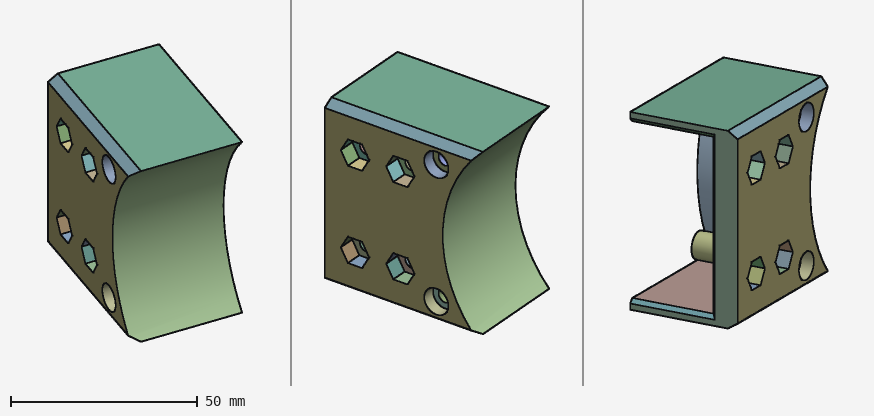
import cadquery as cq
import math

DEPTH = 33.2
HEIGHT = 56.2
HALF_HEIGHT = HEIGHT / 2

SADDLE_RADIUS = 41.0
SADDLE_CENTER_X = 80.0
WALL = 3.0

FRONT_PLATE = 8.2
BEVEL_DEPTH = 3.0
BEVEL_HEIGHT = 1.9

POCKET_DEPTH = DEPTH - FRONT_PLATE
POCKET_HALF_HEIGHT = HALF_HEIGHT - WALL
END_WALL_RADIUS = SADDLE_RADIUS + WALL
MOUTH_CHAMFER = 1.2

BOSS_DIAMETER = 8.0
BOSS_Z = POCKET_HALF_HEIGHT - BOSS_DIAMETER / 2
BOSS_CENTER_RADIUS = END_WALL_RADIUS + BOSS_DIAMETER / 2
BOSS_X = SADDLE_CENTER_X - math.sqrt(BOSS_CENTER_RADIUS**2 - BOSS_Z**2)

SCREW_HOLE_DIAMETER = 4.3
COUNTERBORE_DIAMETER = 8.0
COUNTERBORE_DEPTH = 4.0
NUT_ACROSS_FLATS = 8.1
NUT_DEPTH = 5.2
NUT_CENTERS_X = (10.0, 25.0)
NUT_Z = 15.0


def on_xz(y):
    """Workplane at depth y whose local axes are X and Z; it extrudes towards -Y."""
    return cq.Workplane("XZ", origin=(0, y, 0))


def cylinder(x, z, diameter, y_start, y_end):
    """Round bar along Y."""
    return on_xz(y_end).center(x, z).circle(diameter / 2).extrude(y_end - y_start)


def make_block():
    """Bevelled bar along X, trimmed by the saddle cylinder."""
    tip_x = SADDLE_CENTER_X - math.sqrt(SADDLE_RADIUS**2 - HALF_HEIGHT**2)
    profile = [
        (DEPTH, -HALF_HEIGHT),
        (DEPTH, HALF_HEIGHT),
        (BEVEL_DEPTH, HALF_HEIGHT),
        (0, HALF_HEIGHT - BEVEL_HEIGHT),
        (0, BEVEL_HEIGHT - HALF_HEIGHT),
        (BEVEL_DEPTH, -HALF_HEIGHT),
    ]
    bar = cq.Workplane("YZ").polyline(profile).close().extrude(tip_x)
    return bar.cut(cylinder(SADDLE_CENTER_X, 0, 2 * SADDLE_RADIUS, 0, DEPTH))


def make_pocket():
    """Space inside the walls: the curved end wall lies between the two bosses."""
    boss_radius = BOSS_DIAMETER / 2
    tangent_ratio = END_WALL_RADIUS / BOSS_CENTER_RADIUS
    tangent_x = SADDLE_CENTER_X - (SADDLE_CENTER_X - BOSS_X) * tangent_ratio
    tangent_z = BOSS_Z * tangent_ratio
    boss_front_x = BOSS_X - boss_radius
    return (
        on_xz(DEPTH)
        .moveTo(0, -POCKET_HALF_HEIGHT)
        .lineTo(BOSS_X, -POCKET_HALF_HEIGHT)
        .threePointArc((boss_front_x, -BOSS_Z), (tangent_x, -tangent_z))
        .threePointArc((SADDLE_CENTER_X - END_WALL_RADIUS, 0), (tangent_x, tangent_z))
        .threePointArc((boss_front_x, BOSS_Z), (BOSS_X, POCKET_HALF_HEIGHT))
        .lineTo(0, POCKET_HALF_HEIGHT)
        .close()
        .extrude(POCKET_DEPTH)
    )


def make_mouth_flare():
    """45 degree flare of the pocket mouth on the -X face; it runs out past the open +Y side."""
    flare_half_depth = POCKET_DEPTH + MOUTH_CHAMFER
    flare_height = 2 * (POCKET_HALF_HEIGHT + MOUTH_CHAMFER)
    return (
        cq.Workplane("YZ")
        .center(DEPTH, 0)
        .rect(2 * flare_half_depth, flare_height)
        .extrude(MOUTH_CHAMFER, taper=45)
    )


def make_screw_hole(x, z):
    """Through hole along Y, counterbored in the front face."""
    counterbore = cylinder(x, z, COUNTERBORE_DIAMETER, 0, COUNTERBORE_DEPTH)
    return cylinder(x, z, SCREW_HOLE_DIAMETER, 0, DEPTH).union(counterbore)


def make_nut_hole(x, z):
    """Through hole along Y, with a hexagonal nut recess in the front face."""
    across_corners = NUT_ACROSS_FLATS / math.cos(math.pi / 6)
    recess = on_xz(NUT_DEPTH).center(x, z).polygon(6, across_corners).extrude(NUT_DEPTH)
    return cylinder(x, z, SCREW_HOLE_DIAMETER, 0, FRONT_PLATE).union(recess)


result = make_block().cut(make_pocket()).cut(make_mouth_flare())
for side in (-1, 1):
    result = result.cut(make_screw_hole(BOSS_X, side * BOSS_Z))
    for nut_x in NUT_CENTERS_X:
        result = result.cut(make_nut_hole(nut_x, side * NUT_Z))